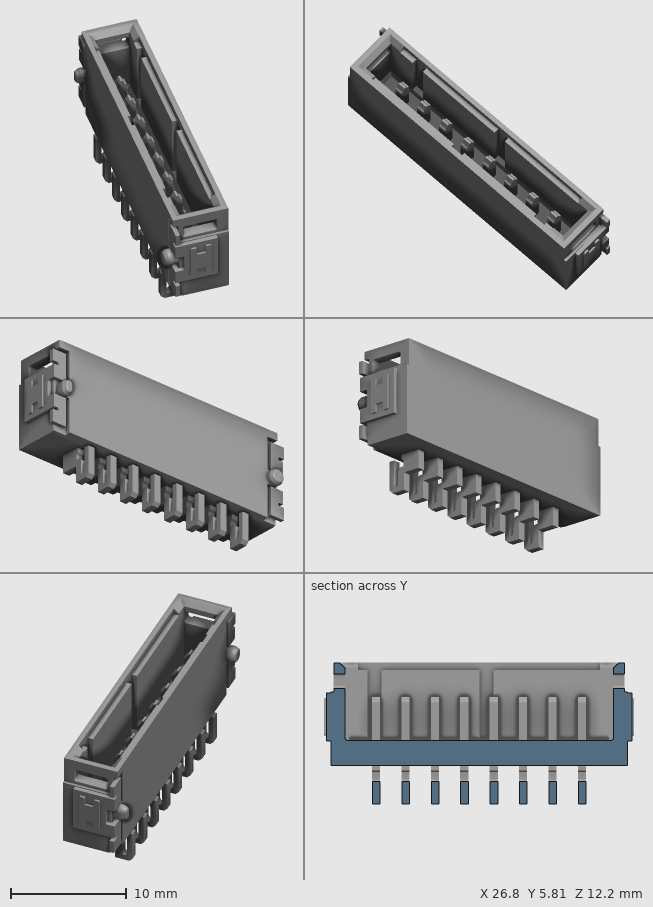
import cadquery as cq


body_half = 12.55
body_depth = 5.03
body_height = 8.9
shoulder_half = 12.8
shoulder_top = 6.37
underside_rise = 0.15
underside_run = 0.85

rim_half = 12.08
rim_front = 0.43
rim_back = 4.55
cavity_half = 11.57
cavity_front = 0.9
cavity_back = 4.07
lead_in_depth = 0.43
floor_half = 11.25
floor_front = 1.12
floor_back = 3.72
floor_z = 2.0
floor_slope_top = floor_z + 0.32
ledge_half = 10.45
ledge_top = 8.25
key_width = 1.2
back_key_starts = [-9.61, 0.03]
front_key_starts = [-1.82, 7.8]

window_front = cavity_front
window_back = cavity_back
window_bottom = 6.67
window_top = 7.93
window_radius = 0.21

sheet = 0.4
panel_outer = shoulder_half + sheet
panel_back = 3.88
panel_bottom = 2.1
panel_top = 6.3
tab_inner = 11.8
tab_outer = 13.34
tab_bottom = 0.55
tab_top = 7.75
notch_height = 0.3
notch_inner = 12.67
notch_radius = 0.13
slot_depth = 0.83
slot_height = 1.63
slot_radius = 0.15
recess_depth = 0.5
recess_inner = 11.4
recess_top = 8.15

h_outer = 13.4
h_front = 1.37
h_back = 3.3
h_bottom = 2.57
h_height = 3.25
h_leg = 0.55
h_bar = 1.71
h_tip_radius = 0.15

peg_x = 12.05
peg_z = h_bottom + h_height / 2
peg_size = 1.5
peg_tip_y = -0.78
oval_width = 1.02
oval_taper = (0.45, 0.21)
round_taper = (0.35, 0.15)
peg_tip_bevel = 0.08
peg_neck_step = 0.05
peg_neck_size = peg_size - 2 * peg_neck_step

pin_count = 8
pin_pitch = 2.55
pin_width = 0.7
post_y = 2.33
post_half = 0.48
post_tip_z = 5.9
tip_half = 0.08
wedge_half = 0.32
wedge_height = 0.4
bevel_height = 0.1
tail_bottom = -3.32


def box(x0, x1, y0, y1, z0, z1):
    """Axis-aligned block between two opposite corners."""
    return cq.Workplane("XY").box(x1 - x0, y1 - y0, z1 - z0, centered=False).translate((x0, y0, z0))


def side_prism(profile, x_start, width):
    """Extrude a closed (Y, Z) profile along +X."""
    return profile.extrude(width).translate((x_start, 0, 0))


def tapered_pocket(bottom, top):
    """Loft between two rectangles, each given as (half length, front, back, z)."""
    pocket = cq.Workplane("XY")
    height = 0
    for half, front, back, z in (bottom, top):
        pocket = pocket.workplane(offset=z - height)
        pocket = pocket.polyline([(-half, front), (half, front), (half, back), (-half, back)]).close()
        height = z
    return pocket.loft(ruled=True)


def both_ends(shape):
    """Join a shape with its mirror image at the other end of the header."""
    return shape.union(shape.mirror("YZ"))


def make_housing():
    housing = box(-body_half, body_half, 0, body_depth, 0, body_height)
    housing = housing.union(box(-shoulder_half, shoulder_half, 0, body_depth, 0, shoulder_top))

    recess = box(recess_inner, shoulder_half, 0, recess_depth, 0, recess_top)
    pad = box(recess_inner, peg_x, 0, recess_depth, peg_z - peg_neck_size / 2, peg_z + peg_neck_size / 2)
    housing = housing.cut(both_ends(recess.cut(pad)))

    slope = cq.Workplane("YZ").polyline([(0, 0), (underside_run, 0), (0, underside_rise)]).close()
    return housing.cut(side_prism(slope, -shoulder_half, 2 * shoulder_half))


def cut_cavity(housing):
    housing = housing.cut(tapered_pocket(
        (floor_half, floor_front, floor_back, floor_z),
        (cavity_half, cavity_front, cavity_back, floor_slope_top),
    ))
    housing = housing.cut(
        box(-cavity_half, cavity_half, cavity_front, cavity_back, floor_slope_top, body_height)
    )
    housing = housing.cut(tapered_pocket(
        (cavity_half, cavity_front, cavity_back, body_height - lead_in_depth),
        (rim_half, rim_front, rim_back, body_height),
    ))

    housing = housing.cut(box(-ledge_half, ledge_half, rim_front, rim_back, ledge_top, body_height))

    for x in back_key_starts:
        housing = housing.cut(box(x, x + key_width, cavity_back, rim_back, floor_slope_top, ledge_top))
    for x in front_key_starts:
        housing = housing.cut(box(x, x + key_width, rim_front, cavity_front, floor_slope_top, ledge_top))

    window = box(-body_half, body_half, window_front, window_back, window_bottom, window_top)
    return housing.cut(window.edges("|X").fillet(window_radius))


def make_bracket():
    """Bent sheet bracket of the +X end: end panel, front tab and raised H."""
    tab = box(tab_inner, tab_outer, 0, sheet, tab_bottom, tab_top)
    tab = tab.cut(box(panel_outer, tab_outer, 0, sheet, panel_bottom, panel_top))
    for z in (panel_bottom - notch_height, panel_top):
        notch = box(notch_inner, tab_outer, 0, sheet, z, z + notch_height)
        tab = tab.cut(notch.edges("|Y and <X").fillet(notch_radius))

    panel = box(shoulder_half, panel_outer, 0, panel_back, panel_bottom, panel_top)
    slot = box(tab_inner, panel_outer, 0, slot_depth, peg_z - slot_height / 2, peg_z + slot_height / 2)
    slot = slot.edges("|X and >Y").fillet(slot_radius)
    bracket = panel.union(tab).cut(slot)

    letter = box(panel_outer, h_outer, h_front + h_leg, h_back - h_leg, peg_z - h_bar / 2, peg_z + h_bar / 2)
    for y in (h_front, h_back - h_leg):
        leg = box(panel_outer, h_outer, y, y + h_leg, h_bottom, h_bottom + h_height)
        letter = letter.union(leg.edges("|X").fillet(h_tip_radius))
    return bracket.union(letter)


def peg_section(x, y, size, width):
    """Circle when the width equals the size, otherwise an upright oval, facing -Y."""
    plane = cq.Workplane("XZ", origin=(x, y, peg_z))
    if width == size:
        return plane.circle(size / 2)
    return plane.slot2D(size, width, 90)


def make_peg(x, width, taper):
    """Peg pointing towards -Y: a slimmer neck out of the recess, then a head with a tapered tip."""
    taper_length, taper_inset = taper
    neck = peg_section(x, recess_depth, peg_neck_size, width - 2 * peg_neck_step).extrude(recess_depth)
    head = peg_section(x, 0, peg_size, width).extrude(-peg_tip_y)
    head = head.faces("<Y").chamfer(taper_length, taper_inset)
    return neck.union(head.faces("<Y").chamfer(peg_tip_bevel))


def make_contact(x):
    """Post with a wedge-shaped tip and a hooked solder tail."""
    post = (
        cq.Workplane("YZ")
        .polyline([
            (post_y - post_half, 0),
            (post_y - post_half, post_tip_z - wedge_height - bevel_height),
            (post_y - wedge_half, post_tip_z - wedge_height),
            (post_y - tip_half, post_tip_z),
            (post_y + tip_half, post_tip_z),
            (post_y + wedge_half, post_tip_z - wedge_height),
            (post_y + post_half, post_tip_z - wedge_height - bevel_height),
            (post_y + post_half, 0),
        ])
        .close()
    )

    neck_front, neck_back = 1.37, 3.3
    neck_top, neck_bottom = 0.27, -1.71
    stem_front, stem_back = 0.96, 1.63
    hook_back, hook_top = 0.5, -0.32
    hook_corner = 0.32
    gap_radius = (stem_front - hook_back) / 2
    gap_arc_z = -2.6
    shoulder_z, shoulder_radius = -1.12, 0.37
    notch_back, notch_top, notch_bevel = 1.55, -0.43, 0.15
    tail = (
        cq.Workplane("YZ")
        .moveTo(neck_back, neck_top)
        .lineTo(neck_back, neck_bottom)
        .lineTo(stem_back, neck_bottom)
        .lineTo(stem_back, tail_bottom)
        .lineTo(hook_corner, tail_bottom)
        .lineTo(0, tail_bottom + hook_corner)
        .lineTo(0, hook_top)
        .lineTo(hook_back, hook_top)
        .lineTo(hook_back, gap_arc_z)
        .threePointArc((hook_back + gap_radius, gap_arc_z - gap_radius), (stem_front, gap_arc_z))
        .lineTo(stem_front, shoulder_z - shoulder_radius)
        .radiusArc((stem_front + shoulder_radius, shoulder_z), shoulder_radius)
        .lineTo(notch_back, shoulder_z)
        .lineTo(notch_back, notch_top - notch_bevel)
        .lineTo(neck_front, notch_top)
        .lineTo(neck_front, neck_top)
        .close()
    )
    start = x - pin_width / 2
    return side_prism(post, start, pin_width).union(side_prism(tail, start, pin_width))


result = cut_cavity(make_housing())
result = result.union(both_ends(make_bracket()))
result = result.union(make_peg(-peg_x, oval_width, oval_taper))
result = result.union(make_peg(peg_x, peg_size, round_taper))
for i in range(pin_count):
    result = result.union(make_contact((i - (pin_count - 1) / 2) * pin_pitch))